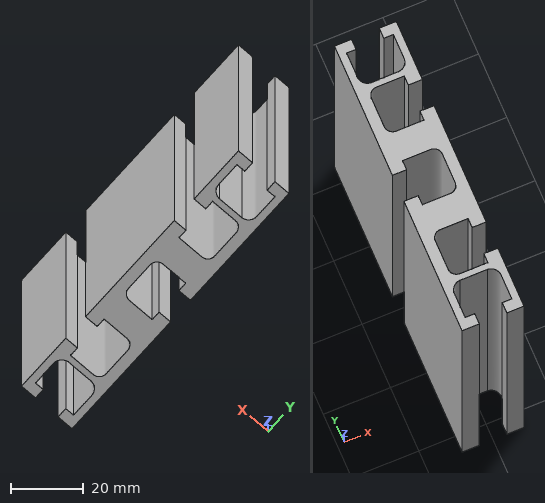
import cadquery as cq

WIDTH = 18.5
DEPTH = 90.0
LENGTH = 100.0

SLOT_PITCH = 22.5
MOUTH_WIDTH = 8.2
CHAMBER_WIDTH = 13.9

SIDE_LIP = 4.25
SIDE_FLOOR = 3.45
SIDE_RADIUS = 2.5
SIDE_SLOT_DEPTH = WIDTH - SIDE_FLOOR

END_LIP = 3.25
END_WEB = 1.8
END_RADIUS = 3.0
END_SLOT_DEPTH = DEPTH / 2 - SLOT_PITCH - CHAMBER_WIDTH / 2 - END_WEB


def t_slot(lip, slot_depth, radius):
    """Cutter for a slot along Z, with its mouth on the plane y = 0 and its floor at y = -slot_depth."""
    chamber_depth = slot_depth - lip
    chamber = (
        cq.Workplane("XY")
        .center(0, -lip - chamber_depth / 2)
        .rect(CHAMBER_WIDTH, chamber_depth)
        .extrude(LENGTH)
        .edges("|Z and <Y")
        .fillet(radius)
    )
    mouth = (
        cq.Workplane("XY")
        .center(0, -slot_depth / 2)
        .rect(MOUTH_WIDTH, slot_depth)
        .extrude(LENGTH)
    )
    return chamber.union(mouth)


def turned(cutter, angle):
    """The cutter turned about the Z axis by an angle in degrees."""
    return cutter.rotate((0, 0, 0), (0, 0, 1), angle)


result = cq.Workplane("XY").rect(WIDTH, DEPTH).extrude(LENGTH)

side_slot = t_slot(SIDE_LIP, SIDE_SLOT_DEPTH, SIDE_RADIUS)
result = result.cut(turned(side_slot, 90).translate((-WIDTH / 2, 0, 0)))
for slot_y in (-SLOT_PITCH, SLOT_PITCH):
    result = result.cut(turned(side_slot, -90).translate((WIDTH / 2, slot_y, 0)))

end_slot = t_slot(END_LIP, END_SLOT_DEPTH, END_RADIUS)
result = result.cut(end_slot.translate((0, DEPTH / 2, 0)))
result = result.cut(turned(end_slot, 180).translate((0, -DEPTH / 2, 0)))